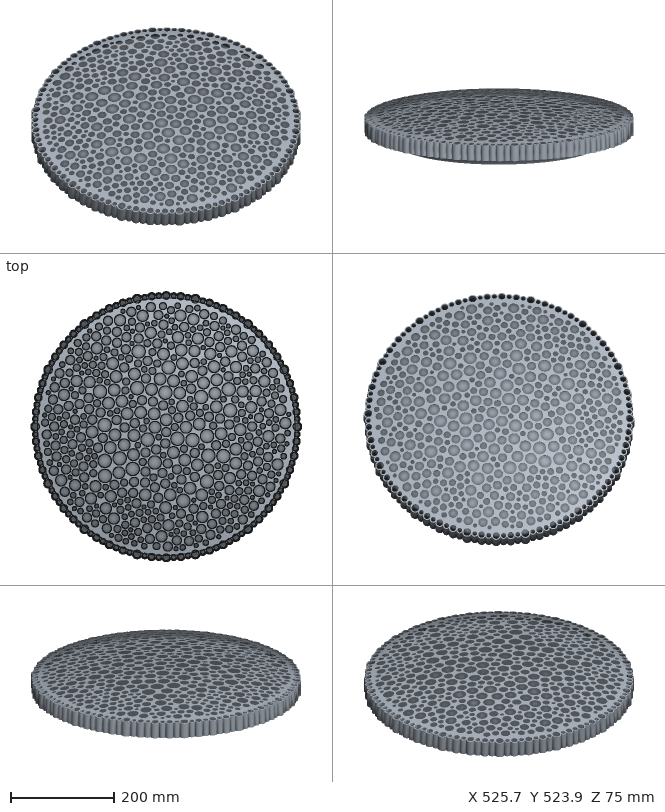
import cadquery as cq
import math

base_radius = 200.0
base_height = 20.0

rim_height = 30.0
rim_bottom = base_height
rim_top = rim_bottom + rim_height
tube_count = 112
tube_circle_radius = 253.5
tube_wall = 2.0
half_wave = [9.33, 6.4, 8.0, 6.7, 8.47]
tube_wave = half_wave + half_wave[-2:0:-1]
rim_floor_thickness = 2.0

dome_rise = 25.0
dome_foot_radius = tube_circle_radius + half_wave[0]
dome_top = rim_top + dome_rise
dome_thickness = 1.0
dome_sphere_radius = (dome_foot_radius**2 + dome_rise**2) / (2 * dome_rise)
dome_sphere_z = dome_top - dome_sphere_radius

diffuser_radius = 250.0
diffuser_gap = 11.0
diffuser_top = dome_top - dome_thickness - diffuser_gap
diffuser_edge_fillet = 6.5

hole_web = 3.3
hole_field_radius = 243.5
inner_field_radius = 150.0
inner_hole_radii = [11.5, 9.0, 11.5, 7.0, 13.0, 9.0, 5.5]
outer_hole_radii = [9.0, 7.0, 5.5, 9.0, 7.0, 11.0, 5.5, 4.0]
filler_hole_radii = [4.0]


def tube_row():
    """Centre x, centre y and outer radius of every rim tube, spaced in proportion to their sizes."""
    radii = [tube_wave[i % len(tube_wave)] for i in range(tube_count)]
    angle_per_length = math.pi / sum(radii)
    tubes = []
    angle = 0.0
    for i, radius in enumerate(radii):
        x = tube_circle_radius * math.cos(angle)
        y = tube_circle_radius * math.sin(angle)
        tubes.append((x, y, radius))
        angle += (radius + radii[(i + 1) % tube_count]) * angle_per_length
    return tubes


def circle_crossings(first, second):
    """The two points where two circles (x, y, radius) cross, or none."""
    x1, y1, r1 = first
    x2, y2, r2 = second
    gap = math.hypot(x2 - x1, y2 - y1)
    if gap > r1 + r2 or gap < abs(r1 - r2):
        return []
    along = (gap**2 + r1**2 - r2**2) / (2 * gap)
    aside = math.sqrt(max(r1**2 - along**2, 0.0))
    ux, uy = (x2 - x1) / gap, (y2 - y1) / gap
    foot_x, foot_y = x1 + along * ux, y1 + along * uy
    return [
        (foot_x - aside * uy, foot_y + aside * ux),
        (foot_x + aside * uy, foot_y - aside * ux),
    ]


def has_room(x, y, radius, holes):
    """True if a hole here lies in the field and keeps the web to every other hole."""
    if math.hypot(x, y) + radius > hole_field_radius:
        return False
    slack = 1e-6
    for hx, hy, hr in holes:
        reach = radius + hr + hole_web - slack
        if abs(x - hx) < reach and abs(y - hy) < reach and math.hypot(x - hx, y - hy) < reach:
            return False
    return True


def seats_beside(hole, radius, holes):
    """Free places for a hole that is one web away from the given hole and from a neighbour."""
    x, y, r = hole
    own_orbit = (x, y, r + radius + hole_web)
    seats = []
    for hx, hy, hr in holes:
        neighbour_orbit = (hx, hy, hr + radius + hole_web)
        span = own_orbit[2] + neighbour_orbit[2]
        if (hx, hy) == (x, y) or abs(x - hx) > span or abs(y - hy) > span:
            continue
        for px, py in circle_crossings(own_orbit, neighbour_orbit):
            if has_room(px, py, radius, holes):
                seats.append((math.hypot(px, py), px, py))
    return seats


def packed_holes():
    """Holes grown outwards from the centre, each seated against two earlier ones."""
    first, second = inner_hole_radii[0], inner_hole_radii[1]
    half_web = hole_web / 2
    holes = [(0.0, first + half_web, first), (0.0, -second - half_web, second)]
    sizes = sorted(set(inner_hole_radii + outer_hole_radii + filler_hole_radii), reverse=True)
    seats = {size: seats_beside(holes[0], size, holes) for size in sizes}

    def place(size, seat):
        hole = (seat[1], seat[2], size)
        holes.append(hole)
        for other in sizes:
            kept = [s for s in seats[other] if has_room(s[1], s[2], other, [hole])]
            seats[other] = kept + seats_beside(hole, other, holes)

    radius_reached = 0.0
    step = 2
    while True:
        cycle = inner_hole_radii if radius_reached < inner_field_radius else outer_hole_radii
        size = cycle[step % len(cycle)]
        if not seats[size]:
            break
        seat = min(seats[size])
        radius_reached = seat[0]
        place(size, seat)
        step += 1
    for size in sizes:
        while seats[size]:
            place(size, min(seats[size]))
    return holes


def scalloped_outline(tubes):
    """Outer edge of the tube row: one arc per tube between the notches to its neighbours."""
    notches = []
    for i, tube in enumerate(tubes):
        crossings = circle_crossings(tubes[i - 1], tube)
        notches.append(max(crossings, key=lambda p: math.hypot(*p)))
    outline = cq.Workplane("XY", origin=(0, 0, rim_bottom)).moveTo(*notches[0])
    for i, (x, y, radius) in enumerate(tubes):
        outward = 1 + radius / tube_circle_radius
        outline = outline.threePointArc((x * outward, y * outward), notches[(i + 1) % len(tubes)])
    return outline.close()


def domed_disc(radius, bottom, sphere_radius):
    """Disc with a flat bottom and a spherical top about the dome centre."""
    disc = cq.Workplane("XY", origin=(0, 0, bottom)).circle(radius).extrude(dome_top - bottom)
    ball = cq.Workplane("XY", origin=(0, 0, dome_sphere_z)).sphere(sphere_radius)
    return disc.intersect(ball)


def make_base():
    return cq.Workplane("XY").circle(base_radius).extrude(base_height)


def make_diffuser():
    body = domed_disc(diffuser_radius, rim_bottom, diffuser_top - dome_sphere_z)
    return body.faces("%CYLINDER").edges(">Z").fillet(diffuser_edge_fillet)


def tube_bores(tubes):
    """Upright bores down the rim tubes, stopping above the rim floor."""
    bottom = rim_bottom + rim_floor_thickness
    return [
        cq.Solid.makeCylinder(radius - tube_wall, dome_top - bottom, cq.Vector(x, y, bottom))
        for x, y, radius in tubes
    ]


def dome_drills(holes):
    """Drills square to the dome, all aimed at the centre of its sphere."""
    inner_reach = dome_sphere_radius - 2 * dome_thickness
    drill_length = 3 * dome_thickness
    drills = []
    for x, y, radius in holes:
        height = math.sqrt(dome_sphere_radius**2 - x**2 - y**2)
        outward = cq.Vector(x, y, height).normalized()
        start = cq.Vector(0, 0, dome_sphere_z) + outward * inner_reach
        drills.append(cq.Solid.makeCylinder(radius, drill_length, start, outward))
    return drills


def make_shade():
    tubes = tube_row()
    blank = scalloped_outline(tubes).extrude(dome_top - rim_bottom)
    outside = domed_disc(dome_foot_radius + 1, rim_bottom, dome_sphere_radius)
    cavity = domed_disc(diffuser_radius, rim_bottom, dome_sphere_radius - dome_thickness)
    shell = blank.intersect(outside).cut(cavity).val()
    shell = shell.cut(*dome_drills(packed_holes()))
    return cq.Workplane(shell.cut(*tube_bores(tubes)))


base = make_base()
diffuser = make_diffuser()
shade = make_shade()

result = cq.Compound.makeCompound([base.val(), diffuser.val(), *shade.vals()])